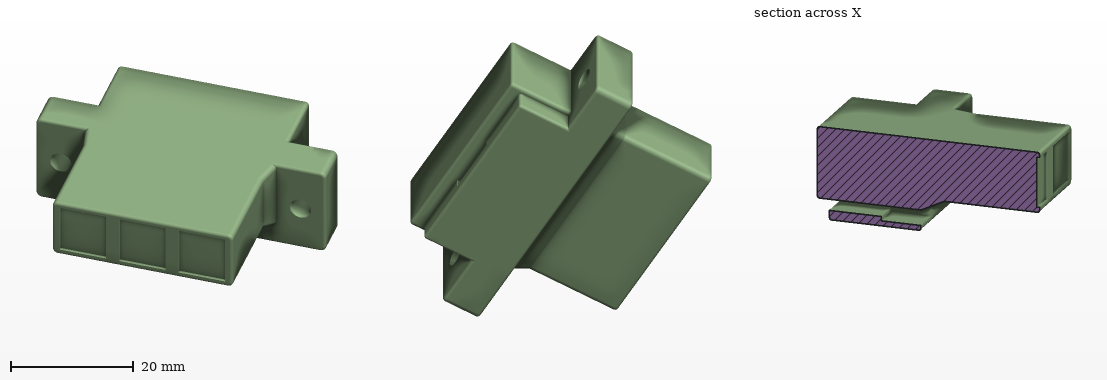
import cadquery as cq

TOTAL_LENGTH = 38.6

FLANGE_WIDTH = 49.5
FLANGE_HEIGHT = 15.9
FLANGE_THICKNESS = 6.85
FLANGE_REAR = -11.2
FLANGE_FRONT = FLANGE_REAR - FLANGE_THICKNESS
FLANGE_CORNER_RADIUS = 1.0
EDGE_RADIUS = 0.5
HOLE_DIAMETER = 3.6
HOLE_SPACING = 40.95

REAR_WIDTH = 32.65
REAR_HEIGHT = 12.4
REAR_SIDE_RADIUS = 0.65

NOSE_WIDTH = 30.8
NOSE_HEIGHT = 10.4
NOSE_TAPER_LENGTH = 4.0
NOSE_SIDE_RADIUS = 0.85
TAPER_END = FLANGE_FRONT - NOSE_TAPER_LENGTH

BLOCK_WIDTH = NOSE_WIDTH
BLOCK_REAR = -2.1

SLOT_WIDTH = 9.4
SLOT_FLANGE_HEIGHT = 2.58
SLOT_BLOCK_HEIGHT = 1.85

WINDOW_COUNT = 3
WINDOW_WIDTH = 7.9
WINDOW_HEIGHT = 8.5
WINDOW_PITCH = 10.15
WINDOW_TOP = -0.9
WINDOW_DEPTH = 0.5


def box(width, y_rear, y_front, z_top, z_bottom):
    """Box centred on X = 0 between the given Y and Z limits."""
    return cq.Workplane("XY").box(
        width, y_rear - y_front, z_top - z_bottom, centered=(True, False, False)
    ).translate((0, y_front, z_bottom))


def make_flange():
    flange = box(FLANGE_WIDTH, FLANGE_REAR, FLANGE_FRONT, 0, -FLANGE_HEIGHT)
    flange = flange.edges("|Y").fillet(FLANGE_CORNER_RADIUS)
    return flange.faces("<Y or >Y").edges().fillet(EDGE_RADIUS)


def make_rear_housing():
    housing = box(REAR_WIDTH, 0, FLANGE_FRONT, 0, -REAR_HEIGHT)
    housing = housing.edges("|Y").fillet(REAR_SIDE_RADIUS)
    return housing.faces(">Y").edges().fillet(EDGE_RADIUS)


def nose_section(width, height, y):
    """Rounded rectangle for an XZ plane at the given Y, hanging from the flat top."""
    section = cq.Sketch().rect(width, height).vertices().fillet(NOSE_SIDE_RADIUS)
    return section.moved(cq.Location((0, -height / 2, -y)))


def make_nose():
    """Tapered part, blended between two sections, followed by the straight part."""
    taper = cq.Workplane("XZ").placeSketch(
        nose_section(REAR_WIDTH, REAR_HEIGHT, FLANGE_FRONT),
        nose_section(NOSE_WIDTH, NOSE_HEIGHT, TAPER_END),
    ).loft(ruled=True)
    straight = box(NOSE_WIDTH, TAPER_END, -TOTAL_LENGTH, 0, -NOSE_HEIGHT)
    straight = straight.edges("|Y").fillet(NOSE_SIDE_RADIUS)
    straight = straight.faces("<Y").edges().fillet(EDGE_RADIUS)
    return taper.union(straight)


def make_block():
    """Block whose front end stays buried inside the flange."""
    block = box(BLOCK_WIDTH, BLOCK_REAR, FLANGE_FRONT + EDGE_RADIUS, -REAR_HEIGHT, -FLANGE_HEIGHT)
    return block.faces(">Y or <Z").edges("not(<Y or >Z)").fillet(EDGE_RADIUS)


def make_ear_holes():
    return (
        cq.Workplane("XZ", origin=(0, FLANGE_REAR, -FLANGE_HEIGHT / 2))
        .pushPoints([(-HOLE_SPACING / 2, 0), (HOLE_SPACING / 2, 0)])
        .circle(HOLE_DIAMETER / 2)
        .extrude(FLANGE_THICKNESS)
    )


def make_slot():
    slot_top = -REAR_HEIGHT
    through_flange = box(SLOT_WIDTH, FLANGE_REAR, FLANGE_FRONT, slot_top, slot_top - SLOT_FLANGE_HEIGHT)
    through_block = box(SLOT_WIDTH, BLOCK_REAR, FLANGE_REAR, slot_top, slot_top - SLOT_BLOCK_HEIGHT)
    return through_flange.union(through_block)


def make_windows():
    return (
        cq.Workplane("XZ", origin=(0, -TOTAL_LENGTH, WINDOW_TOP - WINDOW_HEIGHT / 2))
        .rarray(WINDOW_PITCH, 0.5, WINDOW_COUNT, 1)
        .rect(WINDOW_WIDTH, WINDOW_HEIGHT)
        .extrude(-WINDOW_DEPTH)
    )


result = (
    make_flange()
    .union(make_rear_housing())
    .union(make_nose())
    .union(make_block())
    .cut(make_ear_holes())
    .cut(make_slot())
    .cut(make_windows())
)